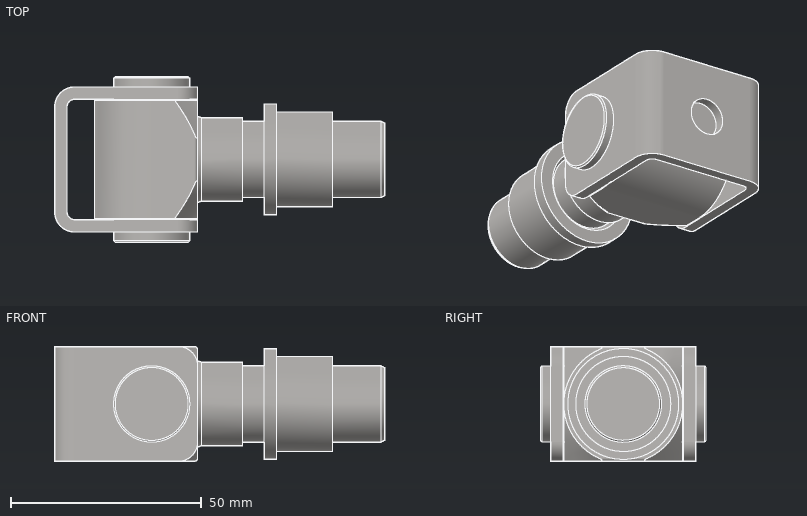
import cadquery as cq


bracket_length = 37.45
bracket_width = 38.1
bracket_height = 30.0
bracket_thickness = 3.3
bend_outer_radius = 5.3
bend_inner_radius = bend_outer_radius - bracket_thickness
arm_corner_radius = 5.0
back_hole_diameter = 10.0
back_hole_depth = 3.0

pin_x = 25.4
pin_diameter = 20.0
pin_length = 43.4
pin_chamfer = 0.4

eye_radius = bracket_height / 2
eye_width = 31.0
eye_end_x = bracket_length
eye_edge_fillet = 0.8
eye_cone_end_radius = 15.6
eye_cone_length = eye_end_x - pin_x + eye_radius

shoulder_radius = 11.0
root_radius = 11.3
root_length = 0.95
shoulder_end_x = 49.2
rod_radius = 10.0
rod_end_x = 86.5
rod_chamfer_length = 1.0
rod_chamfer_depth = 0.5

sleeve_start_x = 54.8
sleeve_end_x = 72.8
flange_thickness = 3.3
flange_radius = 14.5
sleeve_radius = 12.45
bore_chamfer = 0.95


def cylinder_along_y(radius, length):
    """Cylinder on the pin axis, centred on Y = 0."""
    return cq.Workplane("XZ").center(pin_x, 0).circle(radius).extrude(length / 2, both=True)


def cylinder_along_x(radius, start_x, end_x):
    """Cylinder on the bolt axis."""
    return cq.Workplane("YZ", origin=(start_x, 0, 0)).circle(radius).extrude(end_x - start_x)


def cone_along_x(start_radius, end_radius, start_x, end_x):
    """Solid truncated cone on the bolt axis."""
    outline = [(start_x, 0), (start_x, start_radius), (end_x, end_radius), (end_x, 0)]
    return cq.Workplane("XY").polyline(outline).close().revolve(360, (0, 0, 0), (1, 0, 0))


def make_bracket():
    """Bent strip with rounded arm corners, a blind back hole and pin holes."""
    outer = (
        cq.Workplane("XY")
        .box(bracket_length, bracket_width, bracket_height, centered=(False, True, True))
        .edges("|Z and <X").fillet(bend_outer_radius)
        .edges("|Y and >X").fillet(arm_corner_radius)
    )
    inner_width = bracket_width - 2 * bracket_thickness
    opening = (
        cq.Workplane("XY", origin=(bracket_thickness, 0, 0))
        .box(bracket_length, inner_width, bracket_height, centered=(False, True, True))
        .edges("|Z and <X").fillet(bend_inner_radius)
    )
    back_hole = cylinder_along_x(back_hole_diameter / 2, 0, back_hole_depth)
    pin_hole = cylinder_along_y(pin_diameter / 2, pin_length)
    return outer.cut(opening).cut(back_hole).cut(pin_hole)


def make_pin():
    """Straight pin with chamfered ends."""
    return cylinder_along_y(pin_diameter / 2, pin_length).faces("<Y or >Y").chamfer(pin_chamfer)


def make_eye():
    """Half-round eye whose flat end has corners turned to a 45 degree cone."""
    block = (
        cq.Workplane("XY", origin=(pin_x, 0, 0))
        .box(eye_end_x - pin_x, eye_width, 2 * eye_radius, centered=(False, True, True))
        .edges("|Y and >X").fillet(eye_edge_fillet)
    )
    eye = cylinder_along_y(eye_radius, eye_width).union(block)
    turned_cone = cone_along_x(
        eye_cone_end_radius + eye_cone_length,
        eye_cone_end_radius,
        eye_end_x - eye_cone_length,
        eye_end_x,
    )
    return eye.intersect(turned_cone)


def make_shank():
    """Tapered root, shoulder and rod with a chamfered tip."""
    root_end_x = eye_end_x + root_length
    tip_start_x = rod_end_x - rod_chamfer_length
    return (
        cone_along_x(root_radius, shoulder_radius, eye_end_x, root_end_x)
        .union(cylinder_along_x(shoulder_radius, root_end_x, shoulder_end_x))
        .union(cylinder_along_x(rod_radius, shoulder_end_x, tip_start_x))
        .union(cone_along_x(rod_radius, rod_radius - rod_chamfer_depth, tip_start_x, rod_end_x))
    )


def make_eye_bolt():
    """Eye and shank in one piece, with a hole for the pin."""
    pin_hole = cylinder_along_y(pin_diameter / 2, pin_length)
    return make_eye().union(make_shank()).cut(pin_hole)


def make_sleeve():
    """Flanged sleeve with a bore that fits the rod, chamfered at the flange."""
    flange = cylinder_along_x(flange_radius, sleeve_start_x, sleeve_start_x + flange_thickness)
    barrel = cylinder_along_x(sleeve_radius, sleeve_start_x, sleeve_end_x)
    bore = cylinder_along_x(rod_radius, sleeve_start_x, sleeve_end_x)
    countersink = cone_along_x(
        rod_radius + bore_chamfer, rod_radius, sleeve_start_x, sleeve_start_x + bore_chamfer
    )
    return flange.union(barrel).cut(bore).cut(countersink)


bracket = make_bracket()
pin = make_pin()
eye_bolt = make_eye_bolt()
sleeve = make_sleeve()

result = cq.Compound.makeCompound([bracket.val(), pin.val(), eye_bolt.val(), sleeve.val()])